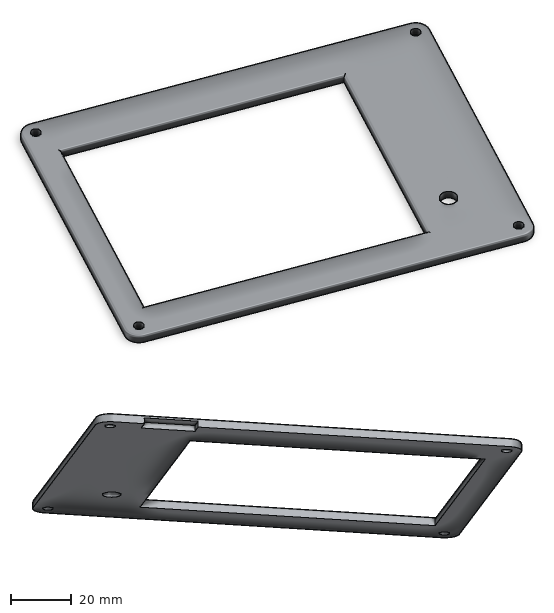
import cadquery as cq

plate_width = 106.4
plate_length = 143.4
plate_thickness = 3.0
corner_radius = 5.0
edge_radius = 1.0

screw_hole_diameter = 3.5

window_width = 77.5
window_length = 99.2
window_center_x = 1.5
window_center_y = -12.2

button_hole_diameter = 6.0
button_hole_x = 28.1
button_hole_y = 49.6

notch_length = 18.0
notch_center_y = 47.2
notch_depth = 5.0
notch_height = plate_thickness - edge_radius


def framed_plate():
    """Plate with rounded corners and a window; both rims of the top face are rounded."""
    plate = cq.Workplane("XY").rect(plate_width, plate_length).extrude(plate_thickness)
    plate = plate.edges("|Z").fillet(corner_radius)
    window = (
        cq.Workplane("XY")
        .center(window_center_x, window_center_y)
        .rect(window_width, window_length)
        .extrude(plate_thickness)
    )
    return plate.cut(window).faces(">Z").edges().fillet(edge_radius)


def screw_holes():
    """Cutters for the through holes in the four corners."""
    spacing_x = plate_width - 2 * corner_radius
    spacing_y = plate_length - 2 * corner_radius
    return (
        cq.Workplane("XY")
        .rect(spacing_x, spacing_y, forConstruction=True)
        .vertices()
        .circle(screw_hole_diameter / 2)
        .extrude(plate_thickness)
    )


def button_hole():
    """Cutter for the round through opening."""
    return (
        cq.Workplane("XY")
        .center(button_hole_x, button_hole_y)
        .circle(button_hole_diameter / 2)
        .extrude(plate_thickness)
    )


def edge_notch():
    """Cutter for the notch in the underside of the -X edge."""
    return (
        cq.Workplane("XY")
        .center((notch_depth - plate_width) / 2, notch_center_y)
        .rect(notch_depth, notch_length)
        .extrude(notch_height)
    )


result = framed_plate().cut(screw_holes()).cut(button_hole()).cut(edge_notch())